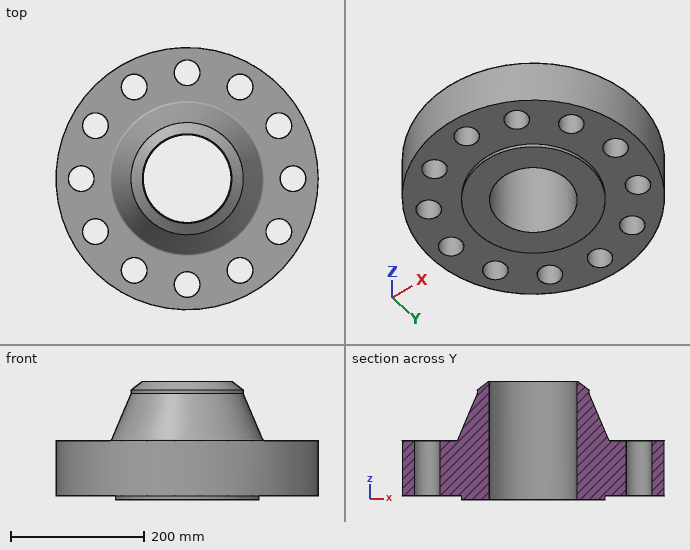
import cadquery as cq
import math

FLANGE_DIAMETER = 393.5
TOTAL_HEIGHT = 178.0

FLANGE_THICKNESS = 82.5
RAISED_FACE_DIAMETER = 215.5
RAISED_FACE_HEIGHT = 6.3

BOLT_HOLE_COUNT = 12
BOLT_HOLE_DIAMETER = 38.0
BOLT_CIRCLE_DIAMETER = 317.5

HUB_BASE_DIAMETER = 228.3
HUB_FILLET_RADIUS = 3.5
NECK_DIAMETER = 168.5
NECK_LENGTH = 5.5
BORE_DIAMETER = 131.5
WELD_LAND_WIDTH = 1.5
WELD_BEVEL_ANGLE = 37.5

flange_radius = FLANGE_DIAMETER / 2
raised_face_radius = RAISED_FACE_DIAMETER / 2
hub_base_radius = HUB_BASE_DIAMETER / 2
neck_radius = NECK_DIAMETER / 2
bore_radius = BORE_DIAMETER / 2
land_radius = bore_radius + WELD_LAND_WIDTH

flange_top = RAISED_FACE_HEIGHT + FLANGE_THICKNESS
bevel_height = (neck_radius - land_radius) * math.tan(math.radians(WELD_BEVEL_ANGLE))
neck_top = TOTAL_HEIGHT - bevel_height
neck_bottom = neck_top - NECK_LENGTH


def revolved_body():
    """Flange, hub and bored neck as one profile turned about the Z axis."""
    profile = (
        cq.Workplane("XZ")
        .moveTo(bore_radius, 0)
        .lineTo(raised_face_radius, 0)
        .lineTo(raised_face_radius, RAISED_FACE_HEIGHT)
        .lineTo(flange_radius, RAISED_FACE_HEIGHT)
        .lineTo(flange_radius, flange_top)
        .lineTo(hub_base_radius, flange_top)
        .lineTo(neck_radius, neck_bottom)
        .lineTo(neck_radius, neck_top)
        .lineTo(land_radius, TOTAL_HEIGHT)
        .lineTo(bore_radius, TOTAL_HEIGHT)
        .close()
    )
    return profile.revolve(360, (0, 0, 0), (0, 1, 0))


def fillet_hub_root(body):
    """Round the corner where the tapered hub meets the flange top."""
    margin = HUB_FILLET_RADIUS
    root_selector = cq.selectors.BoxSelector(
        (-hub_base_radius - margin, -hub_base_radius - margin, flange_top - margin),
        (hub_base_radius + margin, hub_base_radius + margin, flange_top + margin),
        boundingbox=True,
    )
    return body.edges(root_selector).edges("%CIRCLE").fillet(HUB_FILLET_RADIUS)


def bolt_holes():
    """Through holes spread evenly on the bolt circle, the first one on +X."""
    return (
        cq.Workplane("XY")
        .workplane(offset=RAISED_FACE_HEIGHT)
        .polarArray(BOLT_CIRCLE_DIAMETER / 2, 0, 360, BOLT_HOLE_COUNT)
        .circle(BOLT_HOLE_DIAMETER / 2)
        .extrude(FLANGE_THICKNESS)
    )


result = fillet_hub_root(revolved_body()).cut(bolt_holes())